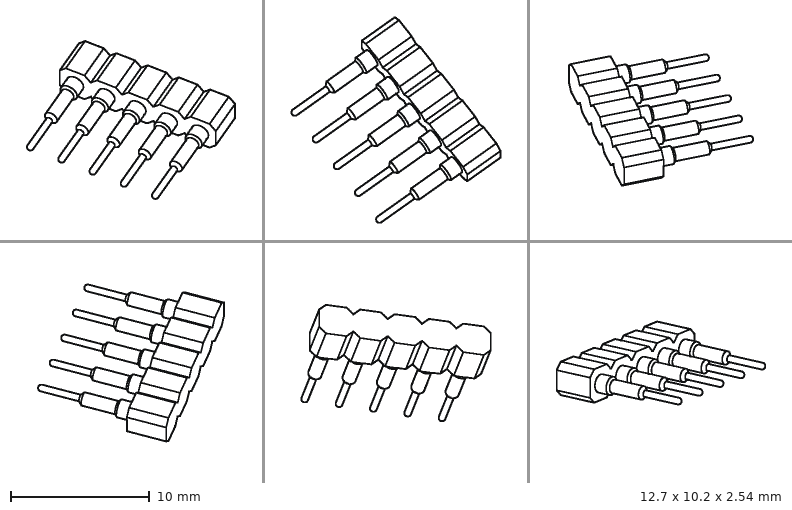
import cadquery as cq
import math


pin_count = 5
pitch = 2.54
corner_cut = 0.51
housing_depth = 3.0
housing_length = pin_count * pitch

collar_diameter = 1.36
barrel_diameter = 1.0
tail_diameter = 0.51
collar_straight_length = 1.0
barrel_end = 3.76
pin_length = 7.2

collar_radius = collar_diameter / 2
barrel_radius = barrel_diameter / 2
tail_radius = tail_diameter / 2

collar_taper_end = collar_straight_length + collar_radius - barrel_radius
barrel_taper_end = barrel_end + barrel_radius - tail_radius
tip_start = pin_length - tail_radius

pin_positions = [(i - (pin_count - 1) / 2) * pitch for i in range(pin_count)]


def make_housing():
    """Bar with an octagonal cell for each pin, leaving V notches between cells."""
    half_height = pitch / 2
    half_flat = pitch / 2 - corner_cut
    half_side = half_height - corner_cut
    half_length = housing_length / 2

    top_edge = [(-half_length, half_side)]
    for x in pin_positions:
        top_edge.append((x - half_flat, half_height))
        top_edge.append((x + half_flat, half_height))
        top_edge.append((x + pitch / 2, half_side))
    bottom_edge = [(x, -z) for x, z in reversed(top_edge)]

    return cq.Workplane("XZ").polyline(top_edge + bottom_edge).close().extrude(-housing_depth)


def make_pin(x):
    """Turned pin at position x: collar, barrel and thin tail with a hemispherical tip."""
    arc_offset = tail_radius * math.sqrt(0.5)
    profile = (
        cq.Workplane("XY")
        .lineTo(collar_radius, 0)
        .lineTo(collar_radius, -collar_straight_length)
        .lineTo(barrel_radius, -collar_taper_end)
        .lineTo(barrel_radius, -barrel_end)
        .lineTo(tail_radius, -barrel_taper_end)
        .lineTo(tail_radius, -tip_start)
        .threePointArc((arc_offset, -tip_start - arc_offset), (0, -pin_length))
        .close()
    )
    pin = profile.revolve(360, (0, 0, 0), (0, 1, 0))
    return pin.translate((x, 0, 0))


housing = make_housing()
pins = [make_pin(x) for x in pin_positions]

result = cq.Compound.makeCompound([housing.val(), *[pin.val() for pin in pins]])